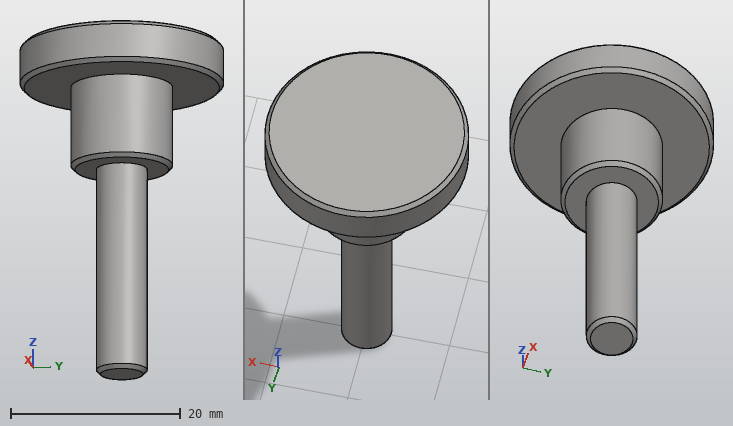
import cadquery as cq

HEAD_DIAMETER = 24.0
HEAD_HEIGHT = 5.0
COLLAR_DIAMETER = 12.0
COLLAR_HEIGHT = 10.0
STEM_DIAMETER = 6.0
STEM_LENGTH = 25.0
EDGE_CHAMFER = 0.5

COLLAR_BOTTOM = 0.0
STEM_BOTTOM = COLLAR_BOTTOM - STEM_LENGTH
HEAD_BOTTOM = COLLAR_BOTTOM + COLLAR_HEIGHT


def cylinder(diameter, bottom, height):
    """Upright cylinder on the Z axis."""
    return cq.Workplane("XY").workplane(offset=bottom).circle(diameter / 2).extrude(height)


def make_head():
    """Knob head, chamfered on both rims."""
    head = cylinder(HEAD_DIAMETER, HEAD_BOTTOM, HEAD_HEIGHT)
    return head.faces("<Z or >Z").edges().chamfer(EDGE_CHAMFER)


def make_shank(diameter, bottom, height):
    """Cylinder below the head, chamfered on its lower rim."""
    return cylinder(diameter, bottom, height).faces("<Z").edges().chamfer(EDGE_CHAMFER)


head = make_head()
collar = make_shank(COLLAR_DIAMETER, COLLAR_BOTTOM, COLLAR_HEIGHT)
stem = make_shank(STEM_DIAMETER, STEM_BOTTOM, STEM_LENGTH)

result = head.union(collar).union(stem)